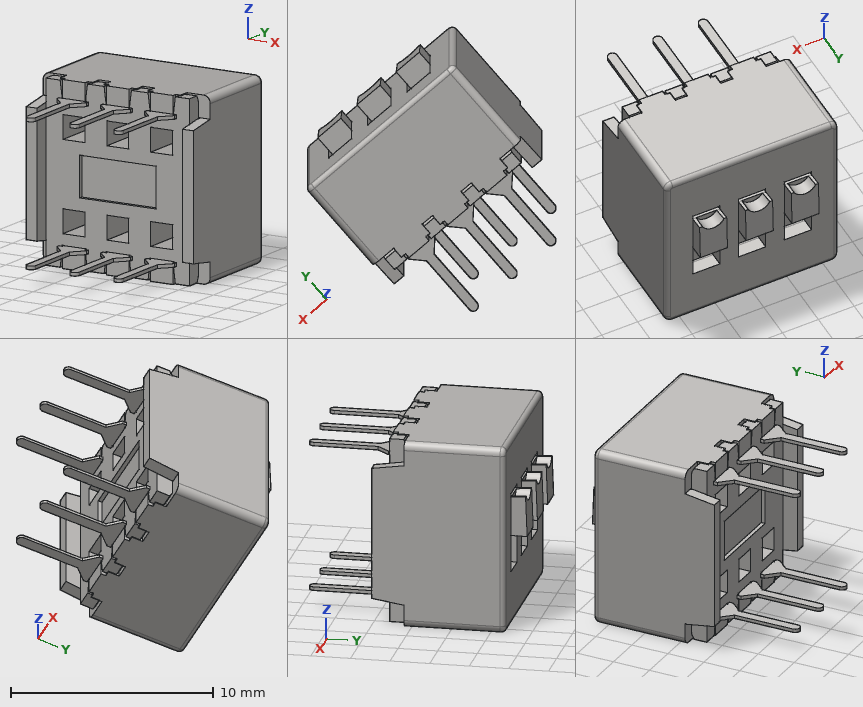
import cadquery as cq


LENGTH = 11.13
PIN_PITCH = 2.54
SLIDER_PITCH = 2.56
SWITCHES = (-1, 0, 1)
ROWS = (-1, 1)

SIDE = 9.65
HALF_SIDE = SIDE / 2
RIM_Y = 0.86
FACE_Y = 5.97
CORNER_RADIUS = 0.39
FACE_RADIUS = 0.26

LEG_INNER_X = 4.2
LEG_TIP_Y = -0.77
LEG_ROOT_HALF_Z = 3.64
LEG_TIP_HALF_Z = 3.4

BASE_HALF_X = 4.14
BASE_HALF_Z = 4.77
BASE_LEAD_Y = 0.15
BASE_LEAD_Z = 0.3
LABEL_X = 4.41
LABEL_Z = 2.18
LABEL_DEPTH = 0.21

SLOT_DEPTH = 0.26
SLOT_HALF_MOUTH = 0.79
SLOT_HALF_THROAT = 0.69
SLOT_THROAT_Z = 4.01
SLOT_FLOOR_Z = 3.64
TONGUE_HALF_TIP = 0.66
TONGUE_HALF_ROOT = 0.93

PIN_Z = 3.77
PIN_THICKNESS = 0.19
PIN_STEM_HALF = 0.26
PIN_SHOULDER_HALF = 0.86
PIN_SHOULDER_Y = -0.21
PIN_TAPER_Y = -0.85
PIN_TIP_Y = -4.35
PIN_TOP_Z = PIN_Z + PIN_THICKNESS / 2

WELL_SIZE = 1.27
WELL_Z = 2.4
CHANNEL_Y = 4.34
CHANNEL_FLOOR_Y = 5.01
CHANNEL_HALF_Z = WELL_Z + WELL_SIZE / 2
WINDOW_HALF_Z = 2.04
WINDOW_EDGE_RADIUS = 0.23

FLANGE_WIDTH = 1.26
FLANGE_LOW_Z = -2.27
FLANGE_HIGH_Z = 1.85
KNOB_WIDTH = 1.51
KNOB_LOW_Z = -0.16
KNOB_HIGH_Z = 1.89
KNOB_LOW_Y = PIN_TIP_Y + LENGTH
KNOB_HIGH_Y = KNOB_LOW_Y - 0.08
SCOOP_HALF = 0.6
SCOOP_DEPTH = 0.36


def block(x0, x1, y0, y1, z0, z1):
    """Box between opposite corners."""
    return cq.Workplane("XY").box(x1 - x0, y1 - y0, z1 - z0, centered=False).translate((x0, y0, z0))


def extrude_x(outline_yz, width, x=0.0):
    """Prism with a (Y, Z) outline, centred on the given X."""
    return cq.Workplane("YZ").polyline(outline_yz).close().extrude(width / 2, both=True).translate((x, 0, 0))


def mirrored_rows(upper):
    """The upper-row shape together with its mirror image below Z = 0."""
    return upper.union(upper.mirror("XY"))


def cover():
    shell = block(-HALF_SIDE, HALF_SIDE, RIM_Y, FACE_Y, -HALF_SIDE, HALF_SIDE)
    shell = shell.edges("|Y").fillet(CORNER_RADIUS)
    return shell.faces(">Y").edges().fillet(FACE_RADIUS)


def leg(side):
    outline = [
        (RIM_Y, -LEG_ROOT_HALF_Z),
        (LEG_TIP_Y, -LEG_TIP_HALF_Z),
        (LEG_TIP_Y, LEG_TIP_HALF_Z),
        (RIM_Y, LEG_ROOT_HALF_Z),
    ]
    return extrude_x(outline, HALF_SIDE - LEG_INNER_X, side * (HALF_SIDE + LEG_INNER_X) / 2)


def base():
    lead_half_z = BASE_HALF_Z - BASE_LEAD_Z
    outline = [
        (0, -BASE_HALF_Z),
        (RIM_Y - BASE_LEAD_Y, -BASE_HALF_Z),
        (RIM_Y, -lead_half_z),
        (RIM_Y, lead_half_z),
        (RIM_Y - BASE_LEAD_Y, BASE_HALF_Z),
        (0, BASE_HALF_Z),
    ]
    plate = extrude_x(outline, 2 * BASE_HALF_X)
    return plate.cut(block(-LABEL_X / 2, LABEL_X / 2, 0, LABEL_DEPTH, -LABEL_Z / 2, LABEL_Z / 2))


def terminal_slots(x):
    """Slots in the base that flare towards the outer edges."""
    outline = [
        (-SLOT_HALF_THROAT, SLOT_FLOOR_Z),
        (SLOT_HALF_THROAT, SLOT_FLOOR_Z),
        (SLOT_HALF_THROAT, SLOT_THROAT_Z),
        (SLOT_HALF_MOUTH, BASE_HALF_Z),
        (-SLOT_HALF_MOUTH, BASE_HALF_Z),
        (-SLOT_HALF_THROAT, SLOT_THROAT_Z),
    ]
    slot = cq.Workplane("XZ").polyline(outline).close().extrude(-SLOT_DEPTH)
    return mirrored_rows(slot.translate((x, 0, 0)))


def tongues(x):
    """Stepped cover tongues that reach down to the pins."""
    tip = block(-TONGUE_HALF_TIP, TONGUE_HALF_TIP, 0, SLOT_DEPTH, PIN_TOP_Z, HALF_SIDE)
    root = block(-TONGUE_HALF_ROOT, TONGUE_HALF_ROOT, SLOT_DEPTH, RIM_Y, PIN_TOP_Z, HALF_SIDE)
    return mirrored_rows(tip.union(root).translate((x, 0, 0)))


def wells(x):
    """Square wells from the seating face to the cover wall."""
    half = WELL_SIZE / 2
    return mirrored_rows(block(x - half, x + half, 0, CHANNEL_FLOOR_Y, WELL_Z - half, WELL_Z + half))


def slider_channel(x):
    """Channel for the flange and the window with rounded inner edges for the knob."""
    half_flange = FLANGE_WIDTH / 2
    channel = block(
        x - half_flange, x + half_flange, CHANNEL_Y, CHANNEL_FLOOR_Y, -CHANNEL_HALF_Z, CHANNEL_HALF_Z
    )
    round_start = WINDOW_HALF_Z + WINDOW_EDGE_RADIUS
    round_end_y = CHANNEL_FLOOR_Y + WINDOW_EDGE_RADIUS
    window = (
        cq.Workplane("YZ")
        .moveTo(FACE_Y, -WINDOW_HALF_Z)
        .lineTo(FACE_Y, WINDOW_HALF_Z)
        .lineTo(round_end_y, WINDOW_HALF_Z)
        .radiusArc((CHANNEL_FLOOR_Y, round_start), WINDOW_EDGE_RADIUS)
        .lineTo(CHANNEL_FLOOR_Y, -round_start)
        .radiusArc((round_end_y, -WINDOW_HALF_Z), WINDOW_EDGE_RADIUS)
        .close()
        .extrude(KNOB_WIDTH / 2, both=True)
        .translate((x, 0, 0))
    )
    return channel.union(window)


def make_housing():
    plate = base()
    for i in SWITCHES:
        plate = plate.cut(terminal_slots(i * PIN_PITCH))
    body = cover().union(plate)
    for side in (-1, 1):
        body = body.union(leg(side))
    for i in SWITCHES:
        body = body.union(tongues(i * PIN_PITCH))
        body = body.cut(wells(i * PIN_PITCH))
        body = body.cut(slider_channel(i * SLIDER_PITCH))
    return body


def make_pin(x, row):
    """Flat pin: blade in the slot, shoulder under the base, tapered to a round-ended stem."""
    stem_end_y = PIN_TIP_Y + PIN_STEM_HALF
    shape = (
        cq.Workplane("XY")
        .moveTo(-TONGUE_HALF_TIP, SLOT_DEPTH)
        .lineTo(-TONGUE_HALF_TIP, 0)
        .lineTo(-PIN_SHOULDER_HALF, 0)
        .lineTo(-PIN_SHOULDER_HALF, PIN_SHOULDER_Y)
        .lineTo(-PIN_STEM_HALF, PIN_TAPER_Y)
        .lineTo(-PIN_STEM_HALF, stem_end_y)
        .threePointArc((0, PIN_TIP_Y), (PIN_STEM_HALF, stem_end_y))
        .lineTo(PIN_STEM_HALF, PIN_TAPER_Y)
        .lineTo(PIN_SHOULDER_HALF, PIN_SHOULDER_Y)
        .lineTo(PIN_SHOULDER_HALF, 0)
        .lineTo(TONGUE_HALF_TIP, 0)
        .lineTo(TONGUE_HALF_TIP, SLOT_DEPTH)
        .close()
    )
    return shape.extrude(PIN_THICKNESS / 2, both=True).translate((x, 0, row * PIN_Z))


def make_slider(x):
    """Flange inside the housing with a knob that stands through the window."""
    half_flange = FLANGE_WIDTH / 2
    flange = block(-half_flange, half_flange, CHANNEL_Y, CHANNEL_FLOOR_Y, FLANGE_LOW_Z, FLANGE_HIGH_Z)
    outline = [
        (CHANNEL_FLOOR_Y, KNOB_LOW_Z),
        (KNOB_LOW_Y, KNOB_LOW_Z),
        (KNOB_HIGH_Y, KNOB_HIGH_Z),
        (FACE_Y, FLANGE_HIGH_Z),
        (CHANNEL_FLOOR_Y, FLANGE_HIGH_Z),
    ]
    knob = extrude_x(outline, KNOB_WIDTH)
    scoop = (
        cq.Workplane("XZ", origin=(0, FACE_Y, 0))
        .moveTo(-SCOOP_HALF, KNOB_HIGH_Z)
        .threePointArc((0, KNOB_HIGH_Z - SCOOP_DEPTH), (SCOOP_HALF, KNOB_HIGH_Z))
        .close()
        .extrude(FACE_Y - KNOB_LOW_Y)
    )
    return flange.union(knob.cut(scoop)).translate((x, 0, 0))


housing = make_housing()
pins = [make_pin(i * PIN_PITCH, row) for row in ROWS for i in SWITCHES]
sliders = [make_slider(i * SLIDER_PITCH) for i in SWITCHES]

result = cq.Compound.makeCompound([body.solids().val() for body in (housing, *pins, *sliders)])